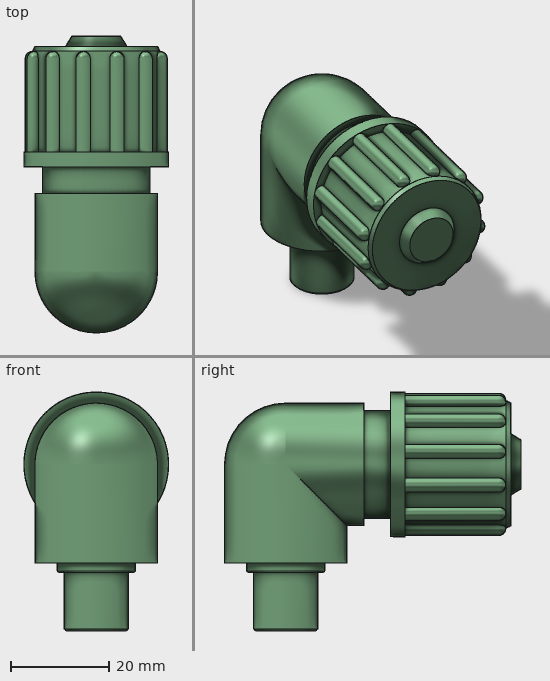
import cadquery as cq


elbow_diameter = 25.0
elbow_radius = elbow_diameter / 2
inlet_length = 16.0
outlet_length = 20.15
neck_diameter = 22.0
collar_diameter = 16.0
collar_height = 1.9
collar_fillet = 0.5
stub_diameter = 13.1
stub_chamfer = 0.5
stub_end = 34.0

nut_start = 21.35
flange_diameter = 29.5
flange_thickness = 3
nut_diameter = 26
nut_end = 45.9
nut_chamfer = 0.5
nut_chamfer_length = 0.95
nose_base_diameter = 12.5
nose_tip_diameter = 10.0
nose_end = 60.5 - elbow_radius

rib_count = 12
rib_pitch = 360 / rib_count
rib_phase = 18.5
rib_circle_radius = 13.3
rib_radius = 1.45
rib_end = 43.45

flange_end = nut_start + flange_thickness


def make_elbow():
    inlet = cq.Workplane("XZ").circle(elbow_radius).extrude(-inlet_length)
    outlet = cq.Workplane("XY").circle(elbow_radius).extrude(-outlet_length)
    knuckle = cq.Workplane("XY").sphere(elbow_radius)
    neck = (
        cq.Workplane("XZ", origin=(0, inlet_length, 0))
        .circle(neck_diameter / 2)
        .extrude(inlet_length - nut_start)
    )
    return inlet.union(outlet).union(knuckle).union(neck).union(make_outlet_stub())


def make_outlet_stub():
    collar = (
        cq.Workplane("XY", origin=(0, 0, -outlet_length))
        .circle(collar_diameter / 2)
        .extrude(-collar_height)
        .faces("<Z")
        .fillet(collar_fillet)
    )
    stub = (
        cq.Workplane("XY", origin=(0, 0, -outlet_length))
        .circle(stub_diameter / 2)
        .extrude(outlet_length - stub_end)
        .faces("<Z")
        .chamfer(stub_chamfer)
    )
    return collar.union(stub)


def make_rib(angle):
    """One grip rib along Y with a ball-shaped tip, turned about the Y axis."""
    rib = (
        cq.Workplane("XZ", origin=(0, flange_end, rib_circle_radius))
        .circle(rib_radius)
        .extrude(flange_end - rib_end)
    )
    tip = cq.Workplane("XY").sphere(rib_radius).translate((0, rib_end, rib_circle_radius))
    return rib.union(tip).rotate((0, 0, 0), (0, 1, 0), angle)


def make_nut():
    nut_radius = nut_diameter / 2
    nut_profile = [
        (0, nut_start),
        (flange_diameter / 2, nut_start),
        (flange_diameter / 2, flange_end),
        (nut_radius, flange_end),
        (nut_radius, nut_end - nut_chamfer_length),
        (nut_radius - nut_chamfer, nut_end),
        (nose_base_diameter / 2, nut_end),
        (nose_tip_diameter / 2, nose_end),
        (0, nose_end),
    ]
    nut = cq.Workplane("XY").polyline(nut_profile).close().revolve(360, (0, 0), (0, 1))
    for index in range(rib_count):
        nut = nut.union(make_rib(rib_phase + index * rib_pitch))
    return nut


elbow = make_elbow()
nut = make_nut()
result = cq.Compound.makeCompound([elbow.val(), nut.val()])